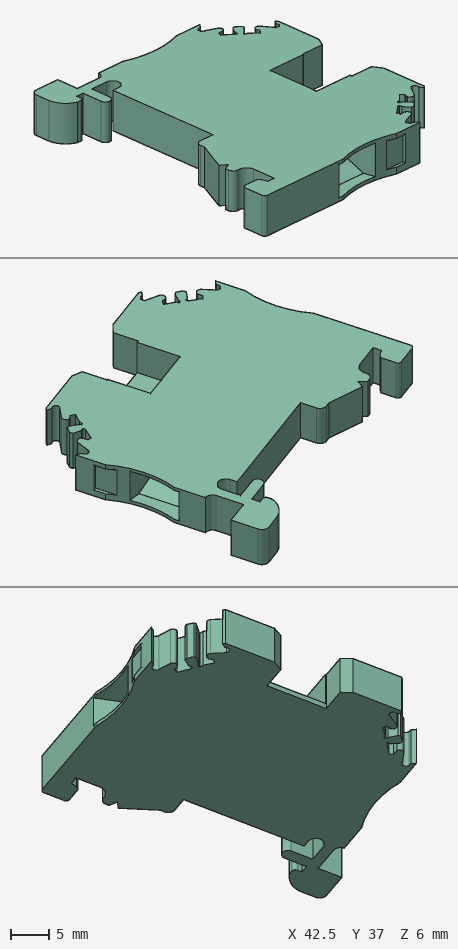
import cadquery as cq

LENGTH = 42.5
HEIGHT = 37.0
THICKNESS = 6.0

BODY_LEFT = 2.55
MID_X = (BODY_LEFT + LENGTH) / 2
RAIL_Y = 7.9
SHOULDER_Y = 4.6
OVERSHOOT = 0.42

NOTCH_WIDTH = 8.92
NOTCH_DEPTH = 4.45
NOTCH_CHAMFER_X = 1.45
NOTCH_CHAMFER_Y = 0.8
WELL_LEFT = 18.2
WELL_RIGHT = 26.65
WELL_BOTTOM_Y = 26.22
WEB_THICKNESS = 0.85

WAIST_TOP_Y = 24.8
WAIST_BOTTOM_Y = 14.75
WAIST_DEPTH = 0.9

MARKER_BOTTOM_Y = 23.38
MARKER_TOP_Y = 26.5
MARKER_BOTTOM_Z = 1.0
MARKER_TOP_Z = 5.25
MARKER_DEPTH = 0.45

ENTRY_MOUTH_X = 3.4
ENTRY_RAMP_X = 5.1
ENTRY_FLOOR_X = 7.4
ENTRY_BOTTOM_Y = 14.0
ENTRY_TOP_Y = 21.65
ENTRY_BOTTOM_Z = 0.55
ENTRY_TOP_Z = 5.5
ENTRY_FLOOR_BOTTOM_Y = 15.8
ENTRY_FLOOR_TOP_Y = 20.65
ENTRY_FLOOR_BOTTOM_Z = 2.1
ENTRY_FLOOR_TOP_Z = 5.25

NECK_LEFT = 3.55
NECK_RIGHT = 5.05
NECK_TOP_Y = 10.1
SLOT_RIGHT = 7.3
FOOT_TOP_Y = 5.05
FOOT_CORNER_RADIUS = 1.05
FOOT_TOE_Y = 3.4
TONGUE_BOTTOM_Y = 4.6
TONGUE_TOP_Y = 6.25
TONGUE_END_X = 9.15
TONGUE_RADIUS = 0.8

SHOULDER_LEFT = 25.45
SHOULDER_RADIUS = 0.98
RIGHT_FOOT_NECK_X = 39.8
RIGHT_FOOT_LEFT = 38.4
RIGHT_FOOT_RADIUS = 0.5


def block(x_min, x_max, y_min, y_max, z_min=0.0, z_max=THICKNESS):
    """Box given by its limits along each axis."""
    size = (x_max - x_min, y_max - y_min, z_max - z_min)
    return cq.Workplane("XY").box(*size, centered=False).translate((x_min, y_min, z_min))


def mirrored(solid):
    """Copy of a solid reflected to the other side of the body."""
    return solid.mirror("YZ", (MID_X, 0, 0))


def main_body():
    body = block(BODY_LEFT, LENGTH, RAIL_Y, HEIGHT)
    radius = NECK_LEFT - BODY_LEFT
    neck_corner = block(BODY_LEFT, NECK_LEFT, RAIL_Y, NECK_TOP_Y - radius)
    neck_round = (
        cq.Workplane("XY").center(BODY_LEFT, NECK_TOP_Y - radius).circle(radius).extrude(THICKNESS)
    )
    return body.cut(neck_corner).cut(neck_round)


def left_foot():
    neck = block(NECK_LEFT, NECK_RIGHT, FOOT_TOE_Y, NECK_TOP_Y)
    tongue = block(NECK_LEFT, TONGUE_END_X, TONGUE_BOTTOM_Y, TONGUE_TOP_Y)
    tongue = tongue.edges("|Z and >X").fillet(TONGUE_RADIUS)
    foot = (
        cq.Workplane("XY")
        .moveTo(0, 0)
        .lineTo(3.3, 0)
        .threePointArc((5.15, 0.7), (6.3, 2.3))
        .lineTo(6.3, 2.98)
        .threePointArc((6.15, 3.25), (5.7, FOOT_TOE_Y))
        .lineTo(NECK_RIGHT, FOOT_TOE_Y)
        .lineTo(NECK_RIGHT, FOOT_TOP_Y)
        .lineTo(0, FOOT_TOP_Y)
        .close()
        .extrude(THICKNESS)
    )
    foot = foot.edges("|Z and <X and <Y").fillet(FOOT_CORNER_RADIUS)
    return neck.union(tongue).union(foot)


def neck_slot():
    """Round-ended slot that frees the neck from the body."""
    radius = (SLOT_RIGHT - NECK_RIGHT) / 2
    centre_y = NECK_TOP_Y - radius
    straight = block(NECK_RIGHT, SLOT_RIGHT, RAIL_Y - OVERSHOOT, centre_y)
    end = cq.Workplane("XY").center(NECK_RIGHT + radius, centre_y).circle(radius).extrude(THICKNESS)
    return straight.union(end)


def right_shoulder():
    """Stepped lower edge with a small V nick and a rounded nose."""
    return (
        cq.Workplane("XY")
        .moveTo(SHOULDER_LEFT, RAIL_Y)
        .lineTo(SHOULDER_LEFT, SHOULDER_Y + SHOULDER_RADIUS)
        .radiusArc((SHOULDER_LEFT + SHOULDER_RADIUS, SHOULDER_Y), -SHOULDER_RADIUS)
        .lineTo(27.1, SHOULDER_Y)
        .lineTo(32.05, 2.2)
        .lineTo(32.75, 3.2)
        .lineTo(33.35, 2.1)
        .lineTo(33.87, 2.1)
        .threePointArc((34.45, 2.35), (34.72, 2.9))
        .lineTo(34.72, 3.25)
        .threePointArc((35.05, 4.12), (36.05, SHOULDER_Y))
        .lineTo(LENGTH, SHOULDER_Y)
        .lineTo(LENGTH, RAIL_Y)
        .close()
        .extrude(THICKNESS)
    )


def right_foot():
    foot = (
        cq.Workplane("XY")
        .moveTo(LENGTH, SHOULDER_Y)
        .lineTo(RIGHT_FOOT_NECK_X, SHOULDER_Y)
        .lineTo(RIGHT_FOOT_NECK_X, 3.4)
        .lineTo(38.85, 3.1)
        .lineTo(RIGHT_FOOT_LEFT, 2.75)
        .lineTo(RIGHT_FOOT_LEFT, 0)
        .lineTo(LENGTH, 0)
        .close()
        .extrude(THICKNESS)
    )
    return foot.edges("|Z and <Y").fillet(RIGHT_FOOT_RADIUS)


def top_notch():
    left = MID_X - NOTCH_WIDTH / 2
    right = MID_X + NOTCH_WIDTH / 2
    notch = (
        cq.Workplane("XY")
        .moveTo(left, HEIGHT - NOTCH_DEPTH)
        .lineTo(left, HEIGHT - NOTCH_CHAMFER_Y)
        .lineTo(left - NOTCH_CHAMFER_X, HEIGHT)
        .lineTo(right + NOTCH_CHAMFER_X, HEIGHT)
        .lineTo(right, HEIGHT - NOTCH_CHAMFER_Y)
        .lineTo(right, HEIGHT - NOTCH_DEPTH)
        .close()
        .extrude(THICKNESS)
    )
    well = block(
        WELL_LEFT,
        WELL_RIGHT,
        WELL_BOTTOM_Y,
        HEIGHT - NOTCH_DEPTH,
        WEB_THICKNESS,
    )
    return notch.union(well)


def toothed_corner():
    """Material removed at the upper-left corner, leaving the row of teeth."""
    return (
        cq.Workplane("XY")
        .moveTo(9.25, HEIGHT)
        .lineTo(8.95, 36.7)
        .lineTo(9.55, 36.3)
        .threePointArc((10.25, 36.2), (10.3, 35.55))
        .lineTo(8.5, 34.35)
        .threePointArc((8.3, 33.85), (8.7, 33.3))
        .lineTo(9.0, 33.3)
        .lineTo(9.35, 33.5)
        .lineTo(9.9, 33.02)
        .lineTo(8.8, 31.85)
        .lineTo(8.65, 31.35)
        .lineTo(8.37, 31.35)
        .lineTo(8.3, 31.65)
        .lineTo(7.3, 32.7)
        .lineTo(6.95, 32.72)
        .lineTo(6.3, 32.0)
        .lineTo(6.3, 31.55)
        .lineTo(7.3, 30.8)
        .lineTo(7.8, 30.8)
        .lineTo(7.78, 30.47)
        .lineTo(6.55, 29.0)
        .lineTo(6.05, 29.2)
        .lineTo(6.0, 30.05)
        .threePointArc((5.4, 30.4), (4.95, 30.05))
        .lineTo(4.2, 28.35)
        .threePointArc((3.6, 27.92), (3.2, 28.35))
        .lineTo(3.15, 28.75)
        .lineTo(BODY_LEFT, 29.2)
        .lineTo(BODY_LEFT, HEIGHT)
        .close()
        .extrude(THICKNESS)
    )


def waist():
    middle = (BODY_LEFT + WAIST_DEPTH, (WAIST_TOP_Y + WAIST_BOTTOM_Y) / 2)
    return (
        cq.Workplane("XY")
        .moveTo(BODY_LEFT, WAIST_BOTTOM_Y)
        .threePointArc(middle, (BODY_LEFT, WAIST_TOP_Y))
        .close()
        .extrude(THICKNESS)
    )


def marker_recess():
    return block(
        BODY_LEFT,
        BODY_LEFT + MARKER_DEPTH,
        MARKER_BOTTOM_Y,
        MARKER_TOP_Y,
        MARKER_BOTTOM_Z,
        MARKER_TOP_Z,
    )


def wire_entry():
    """Funnel: a plan outline narrowing inward, limited by a ramped side profile."""
    plan = (
        cq.Workplane("XY")
        .moveTo(BODY_LEFT, ENTRY_BOTTOM_Y)
        .lineTo(ENTRY_FLOOR_X, ENTRY_FLOOR_BOTTOM_Y)
        .lineTo(ENTRY_FLOOR_X, ENTRY_FLOOR_TOP_Y)
        .lineTo(ENTRY_MOUTH_X, ENTRY_TOP_Y)
        .lineTo(BODY_LEFT, ENTRY_TOP_Y)
        .close()
        .extrude(THICKNESS)
    )
    profile = (
        cq.Workplane("XZ")
        .moveTo(BODY_LEFT, ENTRY_BOTTOM_Z)
        .lineTo(ENTRY_RAMP_X, ENTRY_BOTTOM_Z)
        .lineTo(ENTRY_FLOOR_X, ENTRY_FLOOR_BOTTOM_Z)
        .lineTo(ENTRY_FLOOR_X, ENTRY_FLOOR_TOP_Z)
        .lineTo(ENTRY_MOUTH_X, ENTRY_TOP_Z)
        .lineTo(BODY_LEFT, ENTRY_TOP_Z)
        .close()
        .extrude(-HEIGHT)
    )
    return plan.intersect(profile)


result = main_body().cut(neck_slot()).union(left_foot())
result = result.union(right_shoulder()).union(right_foot())
result = result.cut(top_notch())
for side_cut in (toothed_corner(), waist(), marker_recess(), wire_entry()):
    result = result.cut(side_cut).cut(mirrored(side_cut))